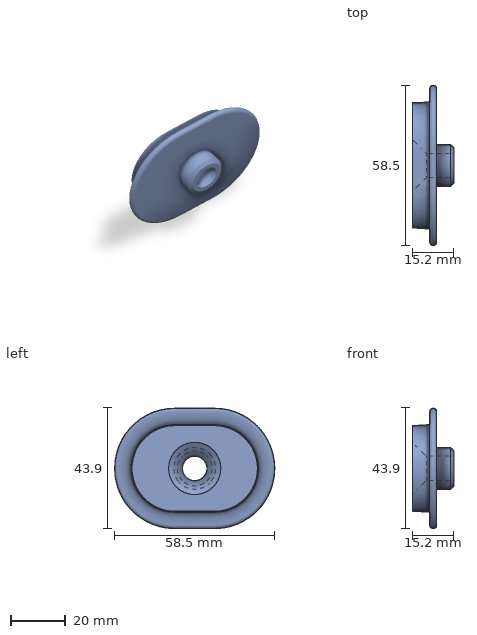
import cadquery as cq

flange_thickness = 2.54
flange_length = 58.47
flange_height = 43.94
rim_radius = flange_thickness / 2

straight_length = flange_length - flange_height

boss_depth = 6.35
boss_base_height = 32.0
boss_draft = 3.5

spigot_diameter = 15.24
spigot_depth = 6.35
spigot_chamfer = 1.27

hole_diameter = 8.89
countersink_diameter = 19.05
countersink_angle = 90.0

flange_back = -flange_thickness / 2
flange_front = flange_thickness / 2
boss_face = flange_back - boss_depth


def facing_back(x):
    """Workplane at x, looking along -X, with its first axis along Y."""
    return cq.Workplane(cq.Plane(origin=(x, 0, 0), xDir=(0, 1, 0), normal=(-1, 0, 0)))


def racetrack(x, height):
    """Racetrack outline of the given Z height, long side along Y."""
    return facing_back(x).slot2D(straight_length + height, height)


def make_flange():
    """Flat racetrack core with half-round edges around it."""
    core_height = flange_height - flange_thickness
    core_radius = core_height / 2
    core = racetrack(flange_front, core_height).extrude(flange_thickness)
    rim_start = cq.Plane(origin=(0, 0, core_radius), xDir=(1, 0, 0), normal=(0, 1, 0))
    half_straight = straight_length / 2
    path = (
        cq.Workplane("YZ")
        .moveTo(0, core_radius)
        .lineTo(half_straight, core_radius)
        .threePointArc((half_straight + core_radius, 0), (half_straight, -core_radius))
        .lineTo(-half_straight, -core_radius)
        .threePointArc((-half_straight - core_radius, 0), (-half_straight, core_radius))
        .close()
    )
    rim = cq.Workplane(rim_start).circle(rim_radius).sweep(path)
    return core.union(rim)


def make_boss():
    """Drafted racetrack boss standing on the back of the flange."""
    return racetrack(flange_back, boss_base_height).extrude(boss_depth, taper=boss_draft)


def make_spigot():
    """Round spigot on the front of the flange, chamfered at its free end."""
    base = cq.Workplane("YZ", origin=(flange_front, 0, 0))
    spigot = base.circle(spigot_diameter / 2).extrude(spigot_depth)
    return spigot.faces(">X").edges().chamfer(spigot_chamfer)


def cut_countersunk_hole(body):
    """Through hole along X with a conical seat sunk into the boss face."""
    return body.copyWorkplane(facing_back(boss_face)).cskHole(
        hole_diameter, countersink_diameter, countersink_angle
    )


body = make_flange().union(make_boss()).union(make_spigot())
result = cut_countersunk_hole(body)